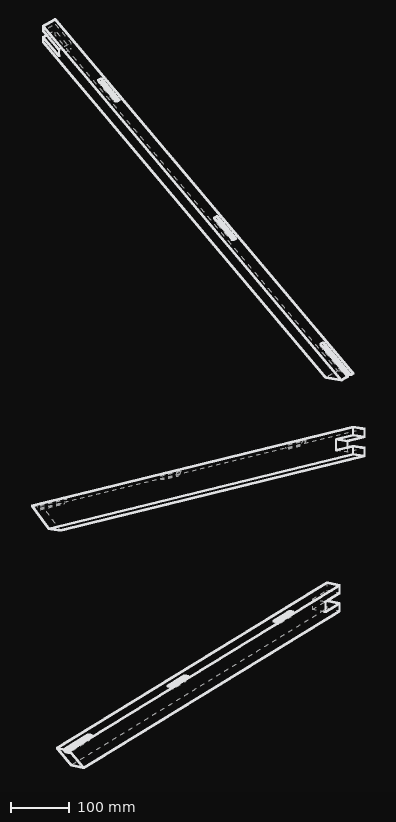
import cadquery as cq

length = 898.0
width = 25.0
height = 48.0

notch_length = 48.0
prong_height = 14.0
notch_height = height - 2 * prong_height

groove_width = 6.0
groove_near_side = 13.5
groove_depth = 7.0
groove_floor = height - groove_depth
runout_end = length + groove_depth
groove_spans = [(146.0, 201.0), (496.0, 552.0), (815.0, runout_end)]


def side_prism(points, near_side, thickness):
    """Extrude an outline in the XZ plane toward +Y, starting at near_side."""
    outline = cq.Workplane("XZ", origin=(0, near_side, 0)).polyline(points).close()
    return outline.extrude(-thickness)


def groove(start, end):
    """Groove cutter with a flat floor and 45 degree sloping ends."""
    points = [
        (start, height),
        (end, height),
        (end - groove_depth, groove_floor),
        (start + groove_depth, groove_floor),
    ]
    return side_prism(points, groove_near_side, groove_width)


bar_outline = [(0, 0), (length - height, 0), (length, height), (0, height)]
result = side_prism(bar_outline, 0, width)

notch = cq.Workplane("XY").box(notch_length, width, notch_height, centered=False)
result = result.cut(notch.translate((0, 0, prong_height)))

for groove_start, groove_end in groove_spans:
    result = result.cut(groove(groove_start, groove_end))